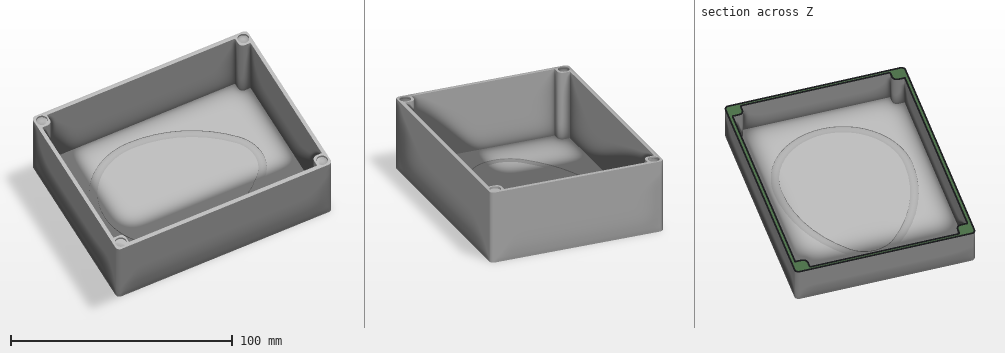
import cadquery as cq
import math

width = 85.0
length = 109.0
height = 35.0
corner_radius = 2.0
side_wall = 2.0
end_wall = 1.7
floor_thickness = 1.7

post_width = 7.3
post_length = 6.9
post_radius = 2.4
hole_diameter = 5.3
hole_inset_x = 3.6
hole_inset_y = 3.5
hole_depth = 1.1

egg_center_y = -10.4
egg_base_radius = 32.7
egg_tip_radius = 18.7
egg_height_above_center = 51.0
groove_width = 3.8
groove_depth = 0.4


def egg_prism(inset):
    """Egg made of four tangent arcs, inset from the outer edge of the groove."""
    base = egg_base_radius - inset
    tip = egg_tip_radius - inset
    tip_center = egg_height_above_center - egg_tip_radius
    radius_step = egg_base_radius - egg_tip_radius
    flank_offset = (tip_center**2 - radius_step**2) / (2 * radius_step)
    flank = base + flank_offset
    tangent_angle = math.atan2(tip_center, flank_offset)

    tangent_x = tip * math.cos(tangent_angle)
    tangent_y = tip_center + tip * math.sin(tangent_angle)
    middle_x = flank * math.cos(tangent_angle / 2) - flank_offset
    middle_y = flank * math.sin(tangent_angle / 2)
    return (
        cq.Workplane("XY", origin=(0, egg_center_y, floor_thickness - groove_depth))
        .moveTo(-base, 0)
        .threePointArc((0, -base), (base, 0))
        .threePointArc((middle_x, middle_y), (tangent_x, tangent_y))
        .threePointArc((0, tip_center + tip), (-tangent_x, tangent_y))
        .threePointArc((-middle_x, middle_y), (-base, 0))
        .close()
        .extrude(groove_depth)
    )


def corner_post(side_x, side_y):
    """Square post filling one corner of the cavity, rounded on its inner edge."""
    post_center_x = side_x * (width - post_width) / 2
    post_center_y = side_y * (length - post_length) / 2
    inner_edge = ("<" if side_x > 0 else ">") + "X"
    inner_end = ("<" if side_y > 0 else ">") + "Y"
    return (
        cq.Workplane("XY")
        .center(post_center_x, post_center_y)
        .rect(post_width, post_length)
        .extrude(height)
        .faces(inner_edge)
        .edges("|Z")
        .edges(inner_end)
        .fillet(post_radius)
    )


outer_block = (
    cq.Workplane("XY")
    .rect(width, length)
    .extrude(height)
    .edges("|Z")
    .fillet(corner_radius)
)
cavity = (
    cq.Workplane("XY", origin=(0, 0, floor_thickness))
    .rect(width - 2 * side_wall, length - 2 * end_wall)
    .extrude(height - floor_thickness)
)

for side_x in (-1, 1):
    for side_y in (-1, 1):
        cavity = cavity.cut(corner_post(side_x, side_y))
box = outer_block.cut(cavity)

screw_holes = (
    cq.Workplane("XY", origin=(0, 0, height - hole_depth))
    .rect(width - 2 * hole_inset_x, length - 2 * hole_inset_y, forConstruction=True)
    .vertices()
    .circle(hole_diameter / 2)
    .extrude(hole_depth)
)

groove = egg_prism(0).cut(egg_prism(groove_width))

result = box.cut(screw_holes).cut(groove)